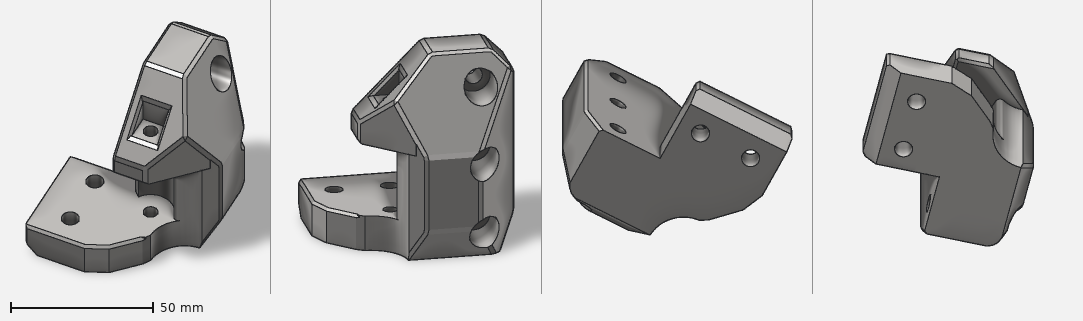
import cadquery as cq
import math

LENGTH = 60.9
DEPTH = 68.0
HEIGHT = 73.05
EDGE = 1.0
CLEAR = 0.7

BASE_TOP = 12.9
BASE_DEPTH = 38.3
BASE_UNDERCUT = 5.0
DIAGONAL_X = 27.9
BASE_FRONT_END_X = 23.4
DIAGONAL_START_Y = 3.4

WALL_X = 27.9
NOSE_Y = 12.9
ROOF_Z = 39.95
NOSE_SLOPE = 35.0
BACK_TOP_BEVEL = 7.8
BACK_SIDE_BEVEL = 15.1
FOOT_BEVEL = 6.0
FOOT_BEVEL_HEIGHT = 2 * FOOT_BEVEL
NOSE_END_X = 58.0
STEP = 0.15
SIDE_TOP_X = LENGTH - (HEIGHT - ROOF_Z) / 2

AXIS_X = 37.1
AXIS_Y = 25.2
BARREL_RADIUS = 8.5
SWING_X = 55.6
SWING_Y = 14.3
SWING_RADIUS = 13.65
TIP_RADIUS = 1.75
RELIEF_BEVEL = 1.7
JAMB_BEVEL_SUM = 60.05
PIN_DIAMETER = 5.1
PIN_DEPTH = 10.0

POCKET_WIDTH = 9.9
POCKET_BACK_Y = 29.4
POCKET_FLOOR_Z = 54.1

SCREW_DIAMETER = 6.3
HEAD_DIAMETER = 12.0
BASE_SCREW_X = 13.0
BASE_SCREW_Y = (10.15, 30.1)
WALL_SCREW_Y = 55.0
WALL_SCREW_Z = (9.3, 35.2, 61.2)
HEAD_SEAT_X = WALL_X + 10.0


def prism_z(points, bottom, top):
    return cq.Workplane("XY").workplane(offset=bottom).polyline(points).close().extrude(top - bottom)


def cylinder_z(x, y, radius, bottom, top):
    return cq.Workplane("XY").workplane(offset=bottom).center(x, y).circle(radius).extrude(top - bottom)


def cylinder_x(y, z, diameter, start, end):
    return cq.Workplane("YZ").workplane(offset=start).center(y, z).circle(diameter / 2).extrude(end - start)


def prism_x(points, start, end):
    return cq.Workplane("YZ").workplane(offset=start).polyline(points).close().extrude(end - start)


def prism_y(points):
    return cq.Workplane("XZ").polyline(points).close().extrude(-DEPTH)


def upright():
    """Faceted block, the common volume of three outlines, with chamfered edges."""
    side = prism_x(
        [
            (NOSE_Y, 0),
            (NOSE_Y, NOSE_Y + NOSE_SLOPE),
            (HEIGHT - NOSE_SLOPE, HEIGHT),
            (DEPTH - BACK_TOP_BEVEL, HEIGHT),
            (DEPTH, HEIGHT - BACK_TOP_BEVEL),
            (DEPTH, FOOT_BEVEL_HEIGHT),
            (DEPTH - FOOT_BEVEL, 0),
        ],
        WALL_X,
        LENGTH,
    )
    front = prism_y(
        [
            (WALL_X, 0),
            (WALL_X, HEIGHT),
            (SIDE_TOP_X, HEIGHT),
            (LENGTH, ROOF_Z),
            (LENGTH, FOOT_BEVEL_HEIGHT),
            (LENGTH - FOOT_BEVEL, 0),
        ]
    )
    plan = prism_z(
        [
            (WALL_X, NOSE_Y),
            (DIAGONAL_X + NOSE_Y, NOSE_Y),
            (LENGTH, LENGTH - DIAGONAL_X),
            (LENGTH, DEPTH - BACK_SIDE_BEVEL),
            (LENGTH - BACK_SIDE_BEVEL, DEPTH),
            (WALL_X, DEPTH),
        ],
        0,
        HEIGHT,
    )
    block = side.intersect(front).intersect(plan)
    low_corner = (-CLEAR, -CLEAR, -CLEAR)
    high_corner = (LENGTH + CLEAR, DEPTH + CLEAR, CLEAR)
    bottom_edges = cq.selectors.BoxSelector(low_corner, high_corner)
    return block.edges(cq.selectors.InverseSelector(bottom_edges)).chamfer(EDGE)


def base_plate():
    """Plate with a diagonal front corner and a beveled lower -X edge."""
    plate = prism_z(
        [
            (0, 0),
            (BASE_FRONT_END_X, 0),
            (DIAGONAL_X + DIAGONAL_START_Y, DIAGONAL_START_Y),
            (DIAGONAL_X + BASE_DEPTH, BASE_DEPTH),
            (0, BASE_DEPTH),
        ],
        0,
        BASE_TOP,
    )
    inner_end_x = AXIS_X + BARREL_RADIUS
    plate = plate.intersect(cq.Workplane("XY").box(inner_end_x, BASE_DEPTH, BASE_TOP, centered=False))
    plate = plate.faces(">Z").edges("not(<X or >X)").chamfer(EDGE)
    plate = plate.edges("|Z and <X").chamfer(EDGE)
    return plate.cut(prism_y([(0, 0), (BASE_UNDERCUT, 0), (0, BASE_UNDERCUT)]))


def hinge_gap():
    """Room for the mating barrel, open to the front, with a rounded tip beside it."""
    open_y = JAMB_BEVEL_SUM - AXIS_X
    outline = [
        (WALL_X - CLEAR, JAMB_BEVEL_SUM - WALL_X + CLEAR),
        (AXIS_X, open_y),
        (LENGTH, open_y),
        (LENGTH, -CLEAR),
        (WALL_X - CLEAR, -CLEAR),
    ]
    gap = prism_z(outline, BASE_TOP, ROOF_Z)
    gap = gap.union(cylinder_z(AXIS_X, AXIS_Y, BARREL_RADIUS, BASE_TOP, ROOF_Z))
    gap = gap.union(cylinder_z(SWING_X, SWING_Y, SWING_RADIUS, BASE_TOP, ROOF_Z))
    span_x = SWING_X - AXIS_X
    span_y = SWING_Y - AXIS_Y
    span = math.hypot(span_x, span_y)
    along = (span**2 + BARREL_RADIUS**2 - SWING_RADIUS**2) / (2 * span)
    across = math.sqrt(BARREL_RADIUS**2 - along**2)
    tip_x = AXIS_X + (along * span_x - across * span_y) / span
    tip_y = AXIS_Y + (along * span_y + across * span_x) / span
    tip = cq.selectors.NearestToPointSelector((tip_x, tip_y, (BASE_TOP + ROOF_Z) / 2))
    return gap.edges(tip).fillet(TIP_RADIUS)


def roof_bevels():
    """Wedges that bevel the lower -X and front edges of the nose."""
    left = prism_y([(WALL_X, ROOF_Z), (WALL_X + EDGE, ROOF_Z), (WALL_X, ROOF_Z + EDGE)])
    jamb = [(WALL_X, 0), (LENGTH, 0), (WALL_X, JAMB_BEVEL_SUM - WALL_X)]
    left = left.intersect(prism_z(jamb, 0, HEIGHT))
    front = prism_x([(NOSE_Y, ROOF_Z), (NOSE_Y + EDGE, ROOF_Z), (NOSE_Y, ROOF_Z + EDGE)], WALL_X, LENGTH)
    return left.union(front)


def swing_clearance():
    """Concave relief of the base under the gap, with its front corner bevelled."""
    relief = cylinder_z(SWING_X, SWING_Y, SWING_RADIUS, 0, BASE_TOP)
    wall_x = SWING_X - SWING_RADIUS
    start_x = wall_x - RELIEF_BEVEL
    outline = [
        (start_x, start_x - DIAGONAL_X),
        (wall_x, SWING_Y + CLEAR),
        (LENGTH, SWING_Y + CLEAR),
        (LENGTH, 0),
    ]
    return relief.union(prism_z(outline, 0, BASE_TOP))


def diagonal_step():
    """Thin slice that leaves the nose slightly proud of the diagonal wall face."""
    plane_x = DIAGONAL_X - STEP

    def slice_from(start_x, bottom, top):
        outline = [
            (start_x, start_x - plane_x),
            (LENGTH, LENGTH - plane_x),
            (LENGTH, 0),
            (start_x, 0),
        ]
        return prism_z(outline, bottom, top)

    below_nose = slice_from(SWING_X, 0, ROOF_Z)
    beside_nose = slice_from(NOSE_END_X, ROOF_Z, HEIGHT)
    return below_nose.union(beside_nose)


def cut_pocket(body):
    """Square pocket opening on the sloping nose face, with a chamfered mouth."""
    half = POCKET_WIDTH / 2
    front_y = POCKET_FLOOR_Z - NOSE_SLOPE
    tool = prism_x(
        [
            (front_y - CLEAR, POCKET_FLOOR_Z),
            (POCKET_BACK_Y, POCKET_FLOOR_Z),
            (POCKET_BACK_Y, HEIGHT),
            (front_y - CLEAR, HEIGHT),
        ],
        AXIS_X - half,
        AXIS_X + half,
    )
    body = body.cut(tool)
    back_z = POCKET_BACK_Y + NOSE_SLOPE
    middle = ((front_y + POCKET_BACK_Y) / 2, (POCKET_FLOOR_Z + back_z) / 2)
    mouth = [
        (AXIS_X, front_y, POCKET_FLOOR_Z),
        (AXIS_X, POCKET_BACK_Y, back_z),
        (AXIS_X - half, *middle),
        (AXIS_X + half, *middle),
    ]
    selector = cq.selectors.NearestToPointSelector(mouth[0])
    for point in mouth[1:]:
        selector = selector + cq.selectors.NearestToPointSelector(point)
    return body.edges(selector).chamfer(EDGE)


body = cut_pocket(upright()).union(base_plate())
body = body.cut(hinge_gap()).cut(roof_bevels()).cut(swing_clearance()).cut(diagonal_step())

body = body.cut(cylinder_z(AXIS_X, AXIS_Y, PIN_DIAMETER / 2, BASE_TOP - PIN_DEPTH, POCKET_FLOOR_Z))

for y in BASE_SCREW_Y:
    body = body.cut(cylinder_z(BASE_SCREW_X, y, SCREW_DIAMETER / 2, 0, BASE_TOP))

for z in WALL_SCREW_Z:
    body = body.cut(cylinder_x(WALL_SCREW_Y, z, SCREW_DIAMETER, WALL_X, LENGTH))
    body = body.cut(cylinder_x(WALL_SCREW_Y, z, HEAD_DIAMETER, HEAD_SEAT_X, LENGTH))

result = body